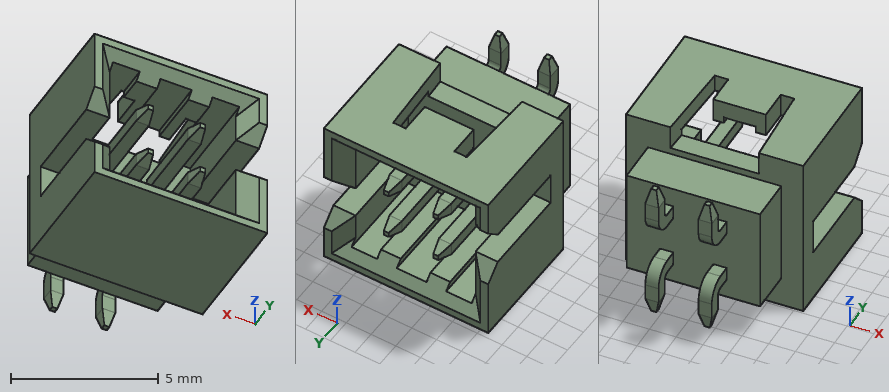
import cadquery as cq
import math


housing_width = 6.65
housing_depth = 4.705
housing_height = 6.3
base_width = 5.0
base_depth = 1.7
base_height = 4.0

wall = 0.9
rear_wall = 0.8
thin_wall = 0.65
rib_width = 0.8
lead_in_depth = 0.6
lead_in_flare = 0.58

slot_high = 1.17
slot_low = -0.17

window_end = 3.2
window_back_half = 1.66
window_end_half = 1.49
tongue_end = 2.0
tongue_width = 1.975

pitch = 2.0
pin = 0.5
pin_tip = 0.2
pin_taper_length = 0.59
bend_radius = 0.71
tail_reach = 1.19
tail_height = 2.645
mouth_recess = 0.31

rear_face = -base_depth
tail_face = rear_face - tail_reach
cavity_depth = housing_depth - rear_wall
lead_in_start = housing_depth - lead_in_depth
cavity_width = housing_width - 2 * wall
cavity_height = housing_height - 2 * wall
roof_top = housing_height / 2


def block(width, depth, height, back):
    """Box centred on X and Z, running towards +Y from the given back face."""
    box = cq.Workplane("XY").box(width, depth, height, centered=(True, False, True))
    return box.translate((0, back, 0))


def cavity():
    """Socket with ribbed roof and floor, and a mouth that flares outwards."""
    socket = block(cavity_width, cavity_depth, housing_height - 2 * thin_wall, rear_wall)
    rib_height = wall - thin_wall
    rib_centre = (cavity_height + rib_height) / 2
    for x in (-pitch / 2, pitch / 2):
        for z in (-rib_centre, rib_centre):
            rib = block(rib_width, cavity_depth, rib_height, rear_wall)
            socket = socket.cut(rib.translate((x, 0, z)))
    mouth = (
        cq.Workplane("XZ", origin=(0, lead_in_start, 0))
        .rect(cavity_width, cavity_height)
        .workplane(offset=-lead_in_depth)
        .rect(cavity_width + 2 * lead_in_flare, cavity_height + 2 * lead_in_flare)
        .loft()
    )
    return socket.union(mouth)


def side_slot():
    """Slot through the -X wall, flared at the mouth."""
    outline = [
        (rear_wall, slot_low),
        (lead_in_start, slot_low),
        (housing_depth, slot_low - lead_in_flare),
        (housing_depth, slot_high + lead_in_flare),
        (lead_in_start, slot_high),
        (rear_wall, slot_high),
    ]
    return cq.Workplane("YZ").polyline(outline).close().extrude(-housing_width / 2)


def latch_window():
    """Tapered opening in the roof, leaving the latch tongue standing."""
    outline = [
        (-window_back_half, 0),
        (window_back_half, 0),
        (window_end_half, window_end),
        (tongue_width / 2, window_end),
        (tongue_width / 2, tongue_end),
        (-tongue_width / 2, tongue_end),
        (-tongue_width / 2, window_end),
        (-window_end_half, window_end),
    ]
    return cq.Workplane("XY", origin=(0, 0, roof_top)).polyline(outline).close().extrude(-wall)


def upper_pin():
    """Upper pin at X = 0: straight contact, bent tail, and a tapered tip at each end."""
    low = (pitch - pin) / 2
    high = low + pin
    inner_radius = bend_radius - pin
    bend_y = tail_face + bend_radius
    bend_z = low + bend_radius
    contact_end = housing_depth - mouth_recess - pin_taper_length
    tail_end = tail_height - pin_taper_length
    diagonal = math.sqrt(0.5)
    body = (
        cq.Workplane("YZ")
        .moveTo(contact_end, low)
        .lineTo(bend_y, low)
        .threePointArc(
            (bend_y - bend_radius * diagonal, bend_z - bend_radius * diagonal),
            (tail_face, bend_z),
        )
        .lineTo(tail_face, tail_end)
        .lineTo(tail_face + pin, tail_end)
        .lineTo(tail_face + pin, bend_z)
        .threePointArc(
            (bend_y - inner_radius * diagonal, bend_z - inner_radius * diagonal),
            (bend_y, high),
        )
        .lineTo(contact_end, high)
        .close()
        .extrude(pin / 2, both=True)
    )
    contact_tip = pin_point(cq.Plane((0, contact_end, pitch / 2), (1, 0, 0), (0, 1, 0)))
    tail_tip = pin_point(cq.Plane((0, tail_face + pin / 2, tail_end), (1, 0, 0), (0, 0, 1)))
    return body.union(contact_tip).union(tail_tip)


def pin_point(plane):
    """Square tip that narrows along the normal of the plane."""
    taper = math.degrees(math.atan((pin - pin_tip) / 2 / pin_taper_length))
    return cq.Workplane(plane).rect(pin, pin).extrude(pin_taper_length, taper=taper)


housing = (
    block(housing_width, housing_depth, housing_height, 0)
    .cut(cavity())
    .cut(side_slot())
    .cut(side_slot().rotate((0, 0, 0), (0, 1, 0), 180))
    .cut(latch_window())
)

result = housing.union(block(base_width, base_depth, base_height, rear_face))
for pin_x in (-pitch / 2, pitch / 2):
    top_pin = upper_pin().translate((pin_x, 0, 0))
    result = result.union(top_pin).union(top_pin.mirror("XY"))